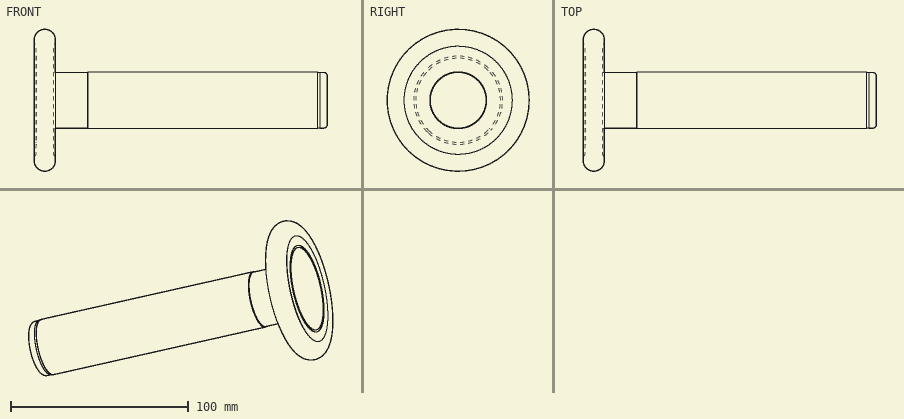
import cadquery as cq

length = 165.0
head_diameter = 80.0
rim_thickness = 12.0
rim_radius = rim_thickness / 2
rim_center_radius = head_diameter / 2 - rim_radius
web_recess = 1.2
neck_diameter = 31.5
face_groove_inner_diameter = 47.5
face_groove_outer_diameter = 49.8
face_groove_depth = 0.2

rod_start = 30.0
grip_diameter = 32.0
grip_end = 159.5
grip_chamfer = 0.3
tip_diameter = neck_diameter
tip_rounding = 2.1
tip_groove_diameter = 31.4
tip_groove_end = 160.7


def cylinder(diameter, start, end):
    """Solid cylinder on the X axis between two X positions."""
    return cq.Workplane("YZ", origin=(start, 0, 0)).circle(diameter / 2).extrude(end - start)


def ring(outer_diameter, inner_diameter, start, end):
    """Tube on the X axis between two X positions."""
    profile = cq.Workplane("YZ", origin=(start, 0, 0)).circle(outer_diameter / 2)
    return profile.circle(inner_diameter / 2).extrude(end - start)


def make_head():
    rim_section = cq.Workplane("XY").center(rim_radius, rim_center_radius).circle(rim_radius)
    rim = rim_section.revolve(360, (0, -rim_center_radius), (1, -rim_center_radius))
    web = cylinder(2 * rim_center_radius, web_recess, rim_thickness - web_recess)
    neck = cylinder(neck_diameter, rim_radius, rod_start)
    face_groove = ring(
        face_groove_outer_diameter,
        face_groove_inner_diameter,
        web_recess,
        web_recess + face_groove_depth,
    )
    return rim.union(web).union(neck).cut(face_groove)


def make_rod():
    grip = cylinder(grip_diameter, rod_start, grip_end).faces("<X").chamfer(grip_chamfer)
    tip = cylinder(tip_diameter, grip_end, length).faces(">X").edges().fillet(tip_rounding)
    tip_groove = ring(grip_diameter, tip_groove_diameter, grip_end, tip_groove_end)
    return grip.union(tip).cut(tip_groove)


head = make_head()
rod = make_rod()

result = cq.Compound.makeCompound([head.val(), rod.val()])